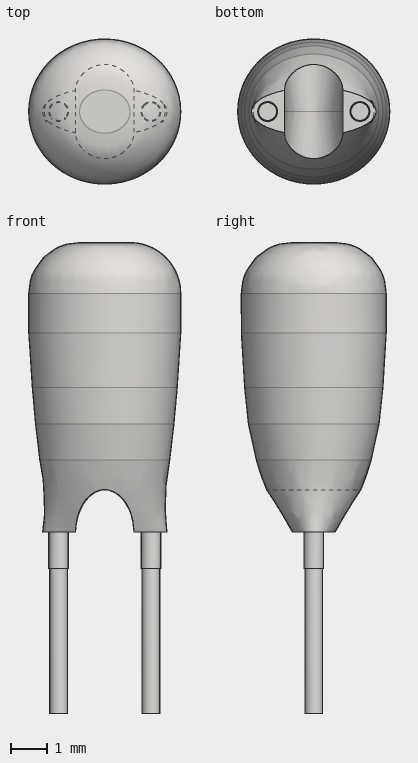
import cadquery as cq

lead_top = 4.0
body_bottom = 5.0
skirt_top = 7.0
shoulder_bottom = 10.5
body_top = 13.0

head_length = 4.2
head_width = 4.0
dome_radius = 1.4

band_sections = [
    (shoulder_bottom, head_length, head_width),
    (9.0, 4.0, 3.82),
    (8.0, 3.82, 3.61),
    (skirt_top, 3.59, 3.17),
]

skirt_waist = (6.15, 3.37, 2.57)
foot = (body_bottom, 3.43, 1.33)

arch_width = 1.61
arch_height = 1.17

lead_pitch = 2.55
lead_radius = 0.25
collar_radius = 0.27


def ellipse_wire(height, length, width):
    """Horizontal ellipse centred on the part axis."""
    sketch = cq.Workplane("XY").workplane(offset=height).ellipse(length / 2, width / 2)
    return sketch.wires().val()


def make_head():
    head = (
        cq.Workplane("XY")
        .workplane(offset=shoulder_bottom)
        .ellipse(head_length / 2, head_width / 2)
        .extrude(body_top - shoulder_bottom)
    )
    return head.faces(">Z").edges().fillet(dome_radius)


def make_bands():
    wires = [ellipse_wire(*section) for section in band_sections]
    return cq.Workplane(cq.Solid.makeLoft(wires, ruled=True))


def make_skirt():
    wires = [ellipse_wire(*band_sections[-1]), ellipse_wire(*skirt_waist), ellipse_wire(*foot)]
    return cq.Workplane(cq.Solid.makeLoft(wires))


def make_arch():
    return (
        cq.Workplane("XZ")
        .center(0, body_bottom)
        .ellipse(arch_width / 2, arch_height)
        .extrude(head_width, both=True)
    )


def make_lead(x):
    lead = cq.Workplane("XY").center(x, 0).circle(lead_radius).extrude(body_bottom)
    collar = (
        cq.Workplane("XY")
        .workplane(offset=lead_top)
        .center(x, 0)
        .circle(collar_radius)
        .extrude(body_bottom - lead_top)
    )
    return lead.union(collar)


result = make_head().union(make_bands()).union(make_skirt()).cut(make_arch())
for side in (-1, 1):
    result = result.union(make_lead(side * lead_pitch / 2))